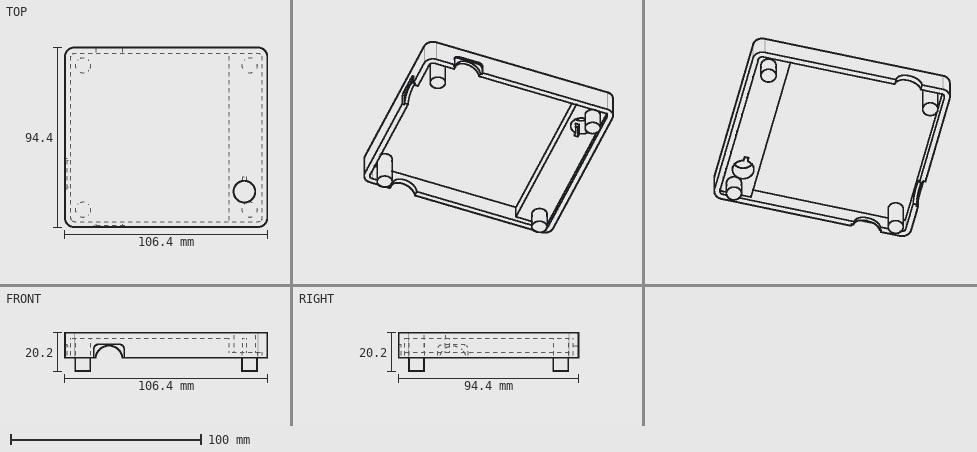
import cadquery as cq

length = 106.4
width = 94.4
total_height = 20.2
peg_drop = 6.9
body_height = total_height - peg_drop
corner_radius = 5.0
wall = 3.0
roof = 3.0

peg_diameter = 8.0
peg_x = 43.7
peg_y = 37.9

hole_diameter = 11.3
hole_x = 41.1
hole_y = -28.5
block_margin = 2.5
block_clearance = 3.0
block_face_x = hole_x - hole_diameter / 2 - block_margin
keyway_width = 2.1
keyway_depth = 2.1

arch_radius = 7.0
arch_center_z = -0.6
recess_width = 16.0
recess_height = 7.1
recess_corner = 2.6
recess_depth = 1.1
front_port_x = -30.0
left_port_y = -18.9

cavity_length = length - 2 * wall
cavity_width = width - 2 * wall
cavity_height = body_height - roof


def box(size_x, size_y, size_z):
    """Box centred in X and Y, standing on Z = 0."""
    return cq.Workplane("XY").box(size_x, size_y, size_z, centered=(True, True, False))


def shell():
    """Round-cornered lid, hollow underneath, with a thick strip left along its +X wall."""
    outside = box(length, width, body_height).edges("|Z").fillet(corner_radius)
    cavity = box(cavity_length, cavity_width, cavity_height).edges("|Z").fillet(corner_radius - wall)
    strip = box(length, width, body_height).translate((block_face_x + length / 2, 0, block_clearance))
    return outside.cut(cavity.cut(strip))


def pegs():
    """Four pins from inside the roof to below the rim."""
    peg_height = total_height - roof / 2
    return (
        cq.Workplane("XY", origin=(0, 0, -peg_drop))
        .rect(2 * peg_x, 2 * peg_y, forConstruction=True)
        .vertices()
        .circle(peg_diameter / 2)
        .extrude(peg_height)
    )


def arch(depth):
    """Arch cutter lying along Y, starting at Y = 0."""
    return cq.Workplane("XZ").center(0, arch_center_z).circle(arch_radius).extrude(-depth)


def recess():
    """Shallow recess cutter with rounded top corners, starting at Y = 0."""
    outline = box(recess_width, 2 * recess_depth, recess_height)
    return outline.edges("|Y and >Z").fillet(recess_corner)


def port():
    """Complete port cutter for a wall whose outer face is at Y = 0."""
    return arch(wall).union(recess())


def keyed_hole():
    """Through hole cutter with a keyway that stops below the roof."""
    bore = cq.Workplane("XY").circle(hole_diameter / 2).extrude(body_height)
    keyway_reach = hole_diameter / 2 + keyway_depth
    keyway = box(keyway_width, keyway_reach, cavity_height).translate((0, keyway_reach / 2, 0))
    return bore.union(keyway).translate((hole_x, hole_y, 0))


front_port = port().translate((front_port_x, -width / 2, 0))
rear_arch = arch(wall).translate((front_port_x, width / 2 - wall, 0))
left_port = (
    port()
    .rotate((0, 0, 0), (0, 0, 1), -90)
    .translate((-length / 2, left_port_y, 0))
)

result = (
    shell()
    .union(pegs())
    .cut(front_port)
    .cut(rear_arch)
    .cut(left_port)
    .cut(keyed_hole())
)